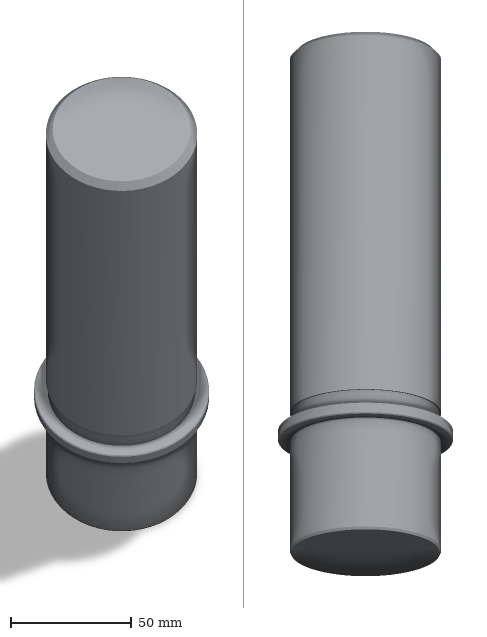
import cadquery as cq

total_height = 219.0
body_diameter = 63.0
flange_diameter = 73.0
groove_diameter = 61.5

lower_body_top = 49.0
flange_top = 53.9
groove_top = 61.3

top_chamfer = 2.8
flange_chamfer = 0.5
lower_chamfer_width = 0.55
lower_chamfer_height = 1.0


def cylinder(diameter, bottom, top):
    """Vertical cylinder on the Z axis between two heights."""
    return cq.Workplane("XY").workplane(offset=bottom).circle(diameter / 2).extrude(top - bottom)


def lower_body():
    """Short cylinder with matching steep chamfers on both end edges."""
    radius = body_diameter / 2
    end_radius = radius - lower_chamfer_width
    return (
        cq.Workplane("XZ")
        .lineTo(end_radius, 0)
        .lineTo(radius, lower_chamfer_height)
        .lineTo(radius, lower_body_top - lower_chamfer_height)
        .lineTo(end_radius, lower_body_top)
        .lineTo(0, lower_body_top)
        .close()
        .revolve(360, (0, 0, 0), (0, 1, 0))
    )


flange = cylinder(flange_diameter, lower_body_top, flange_top).edges().chamfer(flange_chamfer)

groove = cylinder(groove_diameter, flange_top, groove_top)

upper_body = cylinder(body_diameter, groove_top, total_height).faces(">Z").chamfer(top_chamfer)

result = lower_body().union(flange).union(groove).union(upper_body)